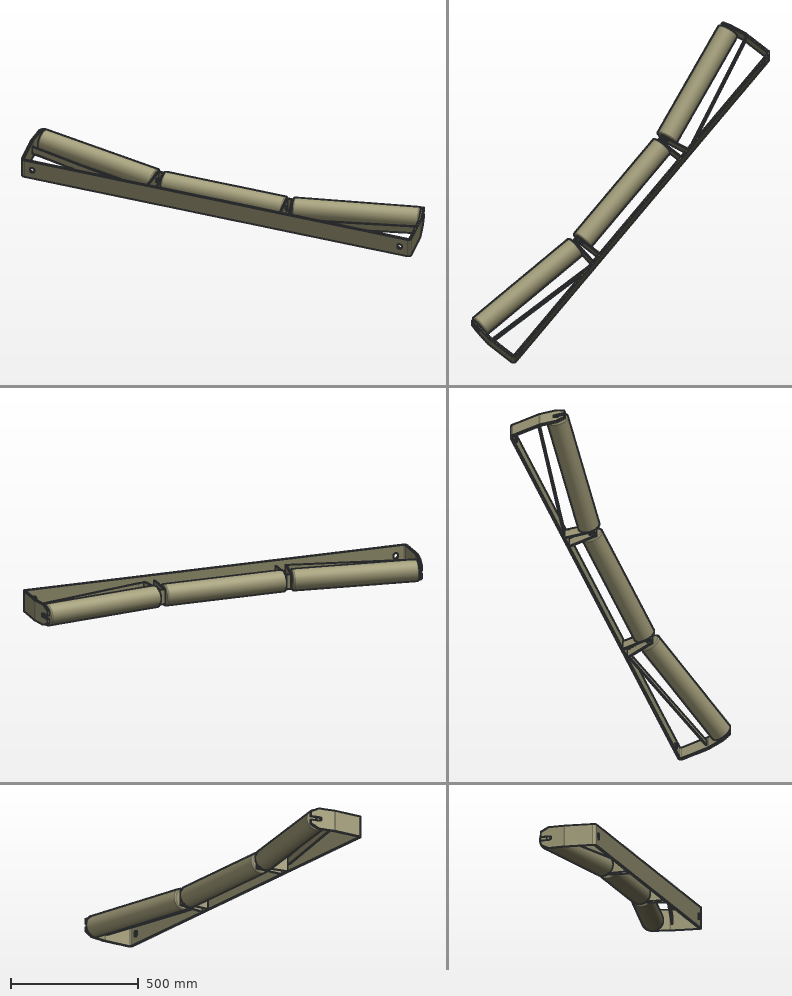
import cadquery as cq
import math


length = 1600.0
strip_width = 83.0
frame_thickness = 8.0
corner_radius = 13.0
lean_angle = 10.0
lean_bend_start = 126.0
lean_bend_radius = 20.0
tab_tip_y = 227.0
tab_chamfer_length = 32.0
tab_chamfer_width = 16.0
slot_depth = 13.0
mount_slot_width = 20.0
mount_slot_height = 24.0
mount_slot_inset = 45.0

roller_diameter = 86.0
roller_length = 500.0
rim_radius = 5.0
shaft_diameter = 16.0
shaft_flat_height = 15.0
shaft_overhang = 10.0
middle_roller_y = 102.0
middle_roller_z = 30.0
wing_roller_x = 530.0
wing_roller_y = 150.0
wing_roller_z = 35.0
skew_angle = 1.0

bracket_thickness = 5.0
bracket_width = 60.0
bracket_x = 251.0
bracket_top_y = 125.0
bracket_top_length = 25.0

strut_thickness = 5.0
strut_width = 34.0
strut_foot_x = 298.0
strut_top_y = 122.0

half_length = length / 2
wall_inner_x = half_length - frame_thickness
strip_middle_z = strip_width / 2
shaft_length = roller_length + 2 * shaft_overhang
lean = math.radians(lean_angle)


def mirrored(body):
    return body.mirror("YZ")


def place_middle(body):
    """Move a body built around the X axis onto the axis of the middle roller."""
    return body.translate((0, middle_roller_y, middle_roller_z))


def place_wing(body):
    """Move a body built around the X axis onto the axis of the +X wing roller."""
    skewed = body.rotate((0, 0, 0), (0, 1, 0), -skew_angle)
    leaned = skewed.rotate((0, 0, 0), (0, 0, 1), lean_angle)
    return leaned.translate((wing_roller_x, wing_roller_y, wing_roller_z))


def bar(diameter, bar_length):
    """Round bar along X, centred on the origin."""
    return cq.Workplane("YZ").workplane(offset=-bar_length / 2).circle(diameter / 2).extrude(bar_length)


def shaft():
    flats = cq.Workplane("XY").box(shaft_length, shaft_diameter, shaft_flat_height)
    return bar(shaft_diameter, shaft_length).intersect(flats)


def roller():
    """Roller along X, centred on the origin."""
    shell = bar(roller_diameter, roller_length).faces("<X or >X").edges().fillet(rim_radius)
    return shell.union(shaft())


def open_slot():
    """Cutter for a slot that is as wide as the shaft flats, open toward +Y and round at its bottom."""
    reach = roller_length / 2 + tab_tip_y - lean_bend_start
    end_y = shaft_flat_height / 2 - slot_depth
    channel = cq.Workplane("XY").box(reach, reach, shaft_flat_height, centered=False)
    channel = channel.translate((0, end_y, -shaft_flat_height / 2))
    round_end = bar(shaft_flat_height, 2 * reach).translate((0, end_y, 0))
    return channel.union(round_end)


def bend_end(radius):
    """End of a lean bend of the given radius about the bend centre."""
    centre_x = half_length - lean_bend_radius
    return centre_x + radius * math.cos(lean), lean_bend_start + radius * math.sin(lean)


def tab_tip(bend_point):
    """Point where the leaned tab side that starts at bend_point reaches the tip height."""
    x, y = bend_point
    return x - (tab_tip_y - y) * math.tan(lean), tab_tip_y


def frame_half():
    bend_inner_radius = lean_bend_radius - frame_thickness
    outer_bend = bend_end(lean_bend_radius)
    inner_bend = bend_end(bend_inner_radius)
    strip = (
        cq.Workplane("XY")
        .lineTo(half_length - corner_radius, 0)
        .radiusArc((half_length, corner_radius), -corner_radius)
        .lineTo(half_length, lean_bend_start)
        .radiusArc(outer_bend, -lean_bend_radius)
        .lineTo(*tab_tip(outer_bend))
        .lineTo(*tab_tip(inner_bend))
        .lineTo(*inner_bend)
        .radiusArc((wall_inner_x, lean_bend_start), bend_inner_radius)
        .lineTo(wall_inner_x, corner_radius)
        .radiusArc((half_length - corner_radius, frame_thickness), corner_radius - frame_thickness)
        .lineTo(0, frame_thickness)
        .close()
        .extrude(strip_width)
    )
    chamfer_start_y = tab_tip_y - tab_chamfer_length
    side_outline = (
        cq.Workplane("YZ")
        .lineTo(chamfer_start_y, 0)
        .lineTo(tab_tip_y, tab_chamfer_width)
        .lineTo(tab_tip_y, strip_width - tab_chamfer_width)
        .lineTo(chamfer_start_y, strip_width)
        .lineTo(0, strip_width)
        .close()
        .extrude(half_length)
    )
    mount_slot = (
        cq.Workplane("XZ")
        .center(half_length - mount_slot_inset, strip_middle_z)
        .slot2D(mount_slot_height, mount_slot_width, 90)
        .extrude(-frame_thickness)
    )
    return strip.intersect(side_outline).cut(mount_slot).cut(place_wing(open_slot()))


def bracket():
    """Folded strip whose legs hold the shaft ends of the middle and the wing roller."""
    t = bracket_thickness
    outer_x = bracket_x + bracket_top_length
    foot_x = outer_x + (bracket_top_y - frame_thickness) * math.tan(lean)
    leg_run = t / math.cos(lean)
    under_y = bracket_top_y - t
    under_outer_x = outer_x - leg_run + t * math.tan(lean)
    folded = (
        cq.Workplane("XY")
        .workplane(offset=middle_roller_z - bracket_width / 2)
        .moveTo(bracket_x, frame_thickness)
        .lineTo(bracket_x, bracket_top_y)
        .lineTo(outer_x, bracket_top_y)
        .lineTo(foot_x, frame_thickness)
        .lineTo(foot_x - leg_run, frame_thickness)
        .lineTo(under_outer_x, under_y)
        .lineTo(bracket_x + t, under_y)
        .lineTo(bracket_x + t, frame_thickness)
        .close()
        .extrude(bracket_width)
    )
    return folded.cut(place_middle(shaft())).cut(place_wing(shaft()))


def strut():
    slope = math.atan2(strut_top_y - frame_thickness, wall_inner_x - strut_foot_x)
    foot_length = strut_thickness / math.sin(slope)
    top_length = strut_thickness / math.cos(slope)
    return (
        cq.Workplane("XY")
        .workplane(offset=strip_middle_z - strut_width / 2)
        .moveTo(strut_foot_x, frame_thickness)
        .lineTo(strut_foot_x + foot_length, frame_thickness)
        .lineTo(wall_inner_x, strut_top_y - top_length)
        .lineTo(wall_inner_x, strut_top_y)
        .close()
        .extrude(strut_width)
    )


frame = frame_half().union(mirrored(frame_half()))
middle_roller = place_middle(roller())
bodies = [frame, middle_roller]
for side_body in (place_wing(roller()), bracket(), strut()):
    bodies += [side_body, mirrored(side_body)]

result = cq.Compound.makeCompound([body.val() for body in bodies])